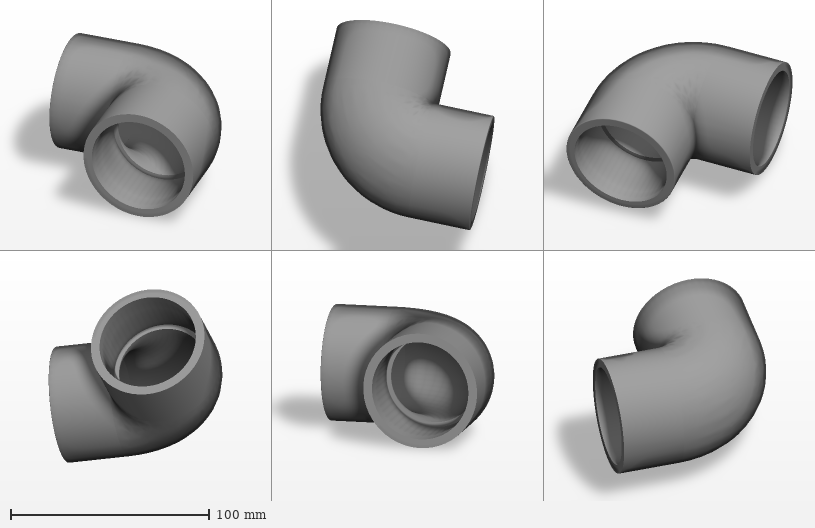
import cadquery as cq

overall = 88.0
outer_diameter = 59.0
socket_diameter = 50.0
bore_diameter = 45.1
arm_length = 31.5
rim_fillet = 0.4

outer_radius = outer_diameter / 2
bend_radius = overall - arm_length - outer_radius


def arm_x(diameter):
    """Cylinder along +X on the axis of the -X arm."""
    profile = cq.Workplane("YZ", origin=(-arm_length, bend_radius, 0)).circle(diameter / 2)
    return profile.extrude(arm_length)


def arm_y(diameter):
    """Cylinder along +Y on the axis of the -Y arm."""
    profile = cq.Workplane("XZ", origin=(bend_radius, -arm_length, 0)).circle(diameter / 2)
    return profile.extrude(-arm_length)


def quarter_turn(section):
    """Sweep a section in the XZ plane a quarter turn about the Z axis."""
    return section.revolve(90, (-bend_radius, 0, 0), (-bend_radius, 1, 0))


def outer_bend():
    """Quarter bend whose section is trimmed where it would cross the bend axis."""
    trim_height = (outer_radius**2 - bend_radius**2) ** 0.5
    section = (
        cq.Workplane("XZ", origin=(bend_radius, 0, 0))
        .moveTo(-bend_radius, -trim_height)
        .threePointArc((outer_radius, 0), (-bend_radius, trim_height))
        .close()
    )
    spline_bend = quarter_turn(section).val().toNURBS()
    return cq.Workplane(spline_bend)


rounded_arm = arm_x(outer_diameter).faces("<X").edges().fillet(rim_fillet)
body = rounded_arm.union(arm_y(outer_diameter)).union(outer_bend())

bore_section = cq.Workplane("XZ", origin=(bend_radius, 0, 0)).circle(bore_diameter / 2)
passage = quarter_turn(bore_section)
sockets = arm_x(socket_diameter).union(arm_y(socket_diameter))

result = body.cut(passage).cut(sockets)